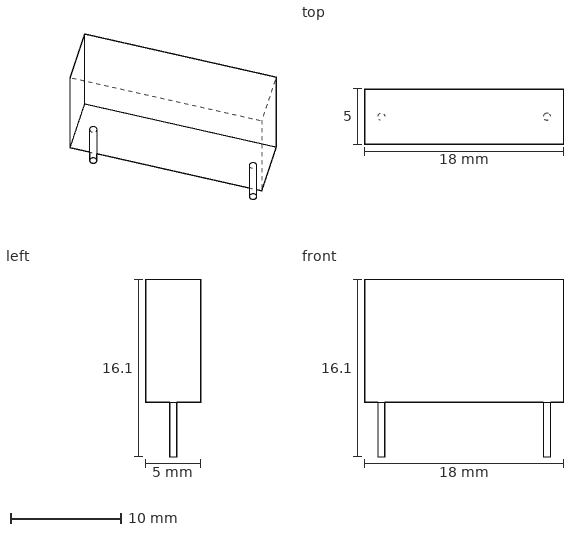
import cadquery as cq

case_length = 18.0
case_width = 5.0
total_height = 16.1

lead_diameter = 0.65
lead_spacing = 15.0
lead_length = 4.95

case_height = total_height - lead_length


def make_case():
    """Plain rectangular case standing on the plane Z = 0."""
    return cq.Workplane("XY").box(case_length, case_width, case_height, centered=(True, True, False))


def make_lead(x):
    """Round wire lead hanging from the underside of the case."""
    return cq.Workplane("XY").center(x, 0).circle(lead_diameter / 2).extrude(-lead_length)


case = make_case()
leads = [make_lead(side * lead_spacing / 2) for side in (-1, 1)]

result = cq.Compound.makeCompound([case.val(), *[lead.val() for lead in leads]])